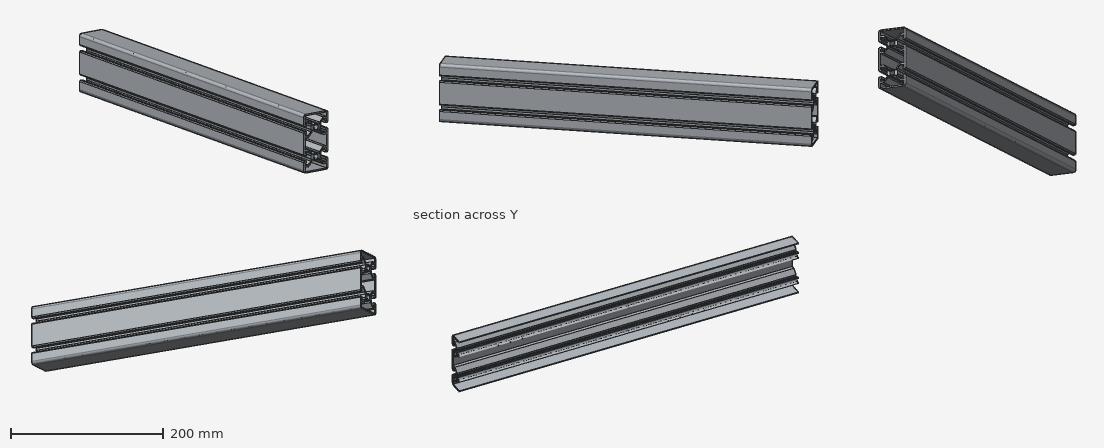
import cadquery as cq
import math

length = 500.0
width = 40.0
height = 2 * width
corner_radius = 4.0

skin = 2.0
side_wall = 3.0
lip_depth = 4.5

slot_spacing = width
slot_half_opening = 3.5
mouth_radius = 1.5
lip_half_height = 6.5
pocket_half_height = 9.5
pocket_shoulder = 12.5
pocket_floor = 8.0
groove_half_height = 2.25
groove_depth = 0.5

arm = 2.5
diagonal_thickness = 2.0
core_radius = 5.0
bore_radius = 3.4
web_half_width = 6.0
web_half_height = 3.5

half_width = width / 2
half_height = height / 2
cell_centre = slot_spacing / 2
inner_face = half_width - side_wall
lip_face = half_width - lip_depth
floor_half_height = pocket_half_height - (pocket_shoulder - pocket_floor)
cavity_half_height = pocket_half_height + arm
cavity_shoulder = pocket_shoulder + arm - diagonal_thickness * math.sqrt(2)
web_corner_height = cavity_half_height - (cavity_shoulder - web_half_width)


def extrude(section):
    """Extrude a section along X, centred on the origin."""
    return section.extrude(length / 2, both=True)


def section_plane():
    return cq.Workplane("YZ")


def symmetric_prism(half_points):
    """Prism whose outline is the given +Y half mirrored to the -Y side."""
    other_half = [(-y, z) for y, z in reversed(half_points)]
    return extrude(section_plane().polyline(half_points + other_half).close())


def outer_bar():
    bar = cq.Workplane("XY").box(length, width, height)
    return bar.edges("|X").fillet(corner_radius)


def centre_cavity():
    """Large chamber between the two screw cores."""
    upper = [
        (web_half_width, cell_centre - web_half_height),
        (web_half_width, cell_centre - web_corner_height),
        (cavity_shoulder, cell_centre - cavity_half_height),
        (inner_face, cell_centre - cavity_half_height),
    ]
    lower = [(y, -z) for y, z in reversed(upper)]
    return symmetric_prism(upper + lower)


def end_cavity(side):
    """Chamber between a screw core and the top (+1) or bottom (-1) skin."""
    half_points = [
        (web_half_width, side * (cell_centre + web_half_height)),
        (web_half_width, side * (cell_centre + web_corner_height)),
        (cavity_shoulder, side * (cell_centre + cavity_half_height)),
        (inner_face, side * (cell_centre + cavity_half_height)),
        (inner_face, side * (half_height - skin)),
    ]
    return symmetric_prism(half_points)


def slot(side, cell_z):
    """T-slot with hooked lips, a tapering pocket and a shallow floor groove."""
    half_points = [
        (half_width, slot_half_opening),
        (lip_face, slot_half_opening),
        (lip_face, lip_half_height),
        (inner_face, lip_half_height),
        (inner_face, pocket_half_height),
        (pocket_shoulder, pocket_half_height),
        (pocket_floor, floor_half_height),
        (pocket_floor, groove_half_height),
        (pocket_floor - groove_depth, groove_half_height),
    ]
    upper = [(side * y, cell_z + z) for y, z in half_points]
    lower = [(side * y, cell_z - z) for y, z in reversed(half_points)]
    return extrude(section_plane().polyline(upper + lower).close())


def mouth_round(side, cell_z, lip):
    """Concave quarter round along the outer edge of one slot lip."""
    edge_z = cell_z + lip * slot_half_opening
    return extrude(section_plane().center(side * half_width, edge_z).circle(mouth_radius))


def core_cylinder(radius, cell_z):
    return extrude(section_plane().center(0, cell_z).circle(radius))


result = outer_bar().cut(centre_cavity())
for cell_side in (-1, 1):
    core_z = cell_side * cell_centre
    result = result.cut(end_cavity(cell_side))
    result = result.union(core_cylinder(core_radius, core_z))
    result = result.cut(core_cylinder(bore_radius, core_z))
    for slot_side in (-1, 1):
        result = result.cut(slot(slot_side, core_z))
        for lip_side in (-1, 1):
            result = result.cut(mouth_round(slot_side, core_z, lip_side))